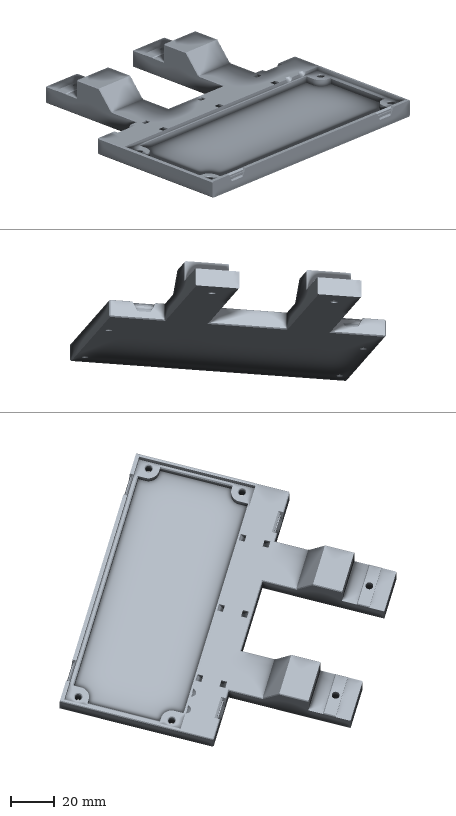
import cadquery as cq
import math

total_length = 130.0
plate_width = 129.7
plate_left = 57.5
plate_height = 8.0
edge_chamfer = 0.5
top_chamfer = 0.4

arm_width = 20.8
arm_spacing = 57.2
arm_end_chamfer = 0.3
arm_overlap = 2.6

total_height = 17.3
block_start = 19.9
block_top_end = 33.7
block_foot_end = 41.6
pad_start = 7.0
pad_end = 13.0
pad_height = 0.5
pad_chamfer = 0.4
arm_hole_x = 9.9
arm_hole_diameter = 3.5

rim_left = 73.3
rim_right = 128.2
rim_width = 126.9
rim_depth = 1.8
ledge_z = plate_height - rim_depth
rim_wall_lean = 0.5
pocket_left = 74.4
pocket_right = 126.2
pocket_width = 122.7
pocket_depth = 5.0
pocket_bevel = 0.5

screw_left = 78.6
screw_right = 122.7
screw_spacing = 119.3
screw_diameter = 3.1
screw_mouth_diameter = 3.9
boss_radius = 5.0

clip_offset = 48.6
clip_top_width = 10.9
clip_bottom_width = 6.2
clip_height = 4.5
clip_slope_height = 1.7
clip_shelf_height = 2.9
clip_lip_height = 3.6
clip_floor_depth = 1.0
clip_shelf_depth = 1.5
clip_top_depth = 2.5
clip_right_shift = 0.5
clip_overcut = 1.3

tie_center_x = 66.3
tie_center_rise = 2.6
tie_inner_reach = 4.3
tie_outer_reach = 7.0
tie_width = 3.2
tie_spacing = 36.7

wire_diameter = 4.7
wire_angle = 45.0
wire_center_x = 74.6
wire_length = 10.4
wire_positions = (53.3, 44.6)

arm_centers = (-arm_spacing / 2, arm_spacing / 2)


def box(x_start, x_end, width, z_start, z_end, y_center=0.0):
    """Axis-aligned box centred on y_center."""
    size = (x_end - x_start, width, z_end - z_start)
    return cq.Workplane("XY").box(*size, centered=(False, True, False)).translate((x_start, y_center, z_start))


def side_profile(points, width, y_center):
    """Outline in the XZ plane, thickened along Y about y_center."""
    return cq.Workplane("XZ").polyline(points).close().extrude(width).translate((0, y_center + width / 2, 0))


def make_plate():
    plate = box(plate_left, total_length, plate_width, 0, plate_height)
    plate = plate.edges("<X and |Z").chamfer(edge_chamfer)
    plate = plate.faces("<Z").edges("not >X").chamfer(edge_chamfer)
    return plate.faces(">Z").edges("not >X").chamfer(top_chamfer)


def make_arm(y_center):
    tip = box(0, block_foot_end, arm_width, 0, plate_height, y_center)
    tip = tip.edges("|X and <Z").chamfer(edge_chamfer)
    tip = tip.edges("<X and |Z").chamfer(arm_end_chamfer)
    root = box(block_foot_end, plate_left + arm_overlap, arm_width, 0, plate_height, y_center)
    root = root.edges("|X and <Z").chamfer(edge_chamfer)
    root = root.edges("|X and >Z").chamfer(top_chamfer)
    return tip.union(root).union(make_block(y_center)).union(make_pad(y_center))


def make_block(y_center):
    """Upright stop with a sloping back, its top and slope bevelled along both sides."""
    base_z = plate_height / 2
    outline = [
        (block_start, base_z),
        (block_start, total_height),
        (block_top_end, total_height),
        (block_foot_end, plate_height),
        (block_foot_end, base_z),
    ]
    block = side_profile(outline, arm_width, y_center)
    return block.edges("(not |Y) and (not |Z) and (not <Z)").chamfer(top_chamfer)


def make_pad(y_center):
    pad = box(pad_start, pad_end, arm_width, plate_height / 2, plate_height + pad_height, y_center)
    return pad.faces(">Z").edges("|X or >X").chamfer(pad_chamfer)


def arm_hole(y_center):
    hole = cq.Workplane("XY").circle(arm_hole_diameter / 2).extrude(total_height)
    return hole.translate((arm_hole_x, y_center, 0))


def widened_prism(x_start, x_end, width, z_start, z_end, x_growth, y_growth):
    """Box on the XZ plane of symmetry whose +X end and both sides lean outwards towards the top."""
    prism = cq.Workplane("XY").center((x_start + x_end) / 2, 0).rect(x_end - x_start, width)
    prism = prism.workplane(offset=z_end - z_start).center(x_growth / 2, 0)
    prism = prism.rect(x_end - x_start + x_growth, width + 2 * y_growth)
    return prism.loft(ruled=True).translate((0, 0, z_start))


def boss(outward_x, outward_y):
    """Corner boss for one screw, joined to the two tray walls beside it."""
    x = screw_left if outward_x < 0 else screw_right
    y = outward_y * screw_spacing / 2
    size = 2 * boss_radius
    shape = cq.Workplane("XY").circle(boss_radius).extrude(ledge_z)
    for offset_x, offset_y in ((outward_x, 0), (0, outward_y), (outward_x, outward_y)):
        center = (offset_x * boss_radius, offset_y * boss_radius)
        shape = shape.union(cq.Workplane("XY").center(*center).rect(size, size).extrude(ledge_z))
    return shape.translate((x, y, 0))


def tray_cut():
    rim_floor_width = rim_width - 2 * rim_wall_lean
    rim = widened_prism(rim_left, rim_right, rim_floor_width, ledge_z, plate_height, 0, rim_wall_lean)
    pocket = box(pocket_left, pocket_right, pocket_width, plate_height - pocket_depth, ledge_z)
    bevel_z = ledge_z - pocket_bevel
    bevel = widened_prism(
        pocket_left, pocket_right, pocket_width, bevel_z, ledge_z, pocket_bevel, pocket_bevel
    )
    pocket = pocket.union(bevel)
    for outward_x in (-1, 1):
        for outward_y in (-1, 1):
            pocket = pocket.cut(boss(outward_x, outward_y))
    return rim.union(pocket)


def screw_hole(x, y):
    hole = cq.Workplane("XY").circle(screw_diameter / 2).extrude(ledge_z)
    mouth_depth = (screw_mouth_diameter - screw_diameter) / 2
    mouth = cq.Workplane("XY").circle(screw_diameter / 2).workplane(offset=mouth_depth)
    mouth = mouth.circle(screw_mouth_diameter / 2).loft().translate((0, 0, ledge_z - mouth_depth))
    return hole.union(mouth).translate((x, y, 0))


def clip_cut(y_center):
    """Recess in the -X face: sloped floor, upright back with a shelf, slanted lip at the top."""
    floor_z = plate_height - clip_height
    depth_points = [
        (-clip_overcut, floor_z),
        (0, floor_z),
        (clip_floor_depth, floor_z + clip_slope_height),
        (clip_floor_depth, floor_z + clip_shelf_height),
        (clip_shelf_depth, floor_z + clip_shelf_height),
        (clip_shelf_depth, floor_z + clip_lip_height),
        (clip_top_depth, plate_height),
        (-clip_overcut, plate_height),
    ]
    front_points = [
        (-clip_bottom_width / 2, floor_z),
        (clip_bottom_width / 2, floor_z),
        (clip_top_width / 2, plate_height),
        (-clip_top_width / 2, plate_height),
    ]
    across = side_profile(depth_points, clip_top_width, 0)
    reach = 2 * clip_top_depth
    trapezoid = cq.Workplane("YZ").polyline(front_points).close().extrude(reach).translate((-reach / 2, 0, 0))
    return across.intersect(trapezoid).translate((plate_left, y_center, 0))


def tie_cut(y_center):
    """Ring about a Y axis above the plate, so only its lower arc bites into the part."""
    ring = cq.Workplane("XZ")
    for reach in (tie_outer_reach, tie_inner_reach):
        ring = ring.circle(math.hypot(reach, tie_center_rise))
    ring = ring.extrude(tie_width)
    return ring.translate((tie_center_x, y_center + tie_width / 2, plate_height + tie_center_rise))


def wire_cut(y_center):
    """Slanted round groove that ends at the rim wall and on the ledge level."""
    passage = cq.Workplane("XY").circle(wire_diameter / 2).extrude(wire_length)
    passage = passage.translate((0, 0, -wire_length / 2)).rotate((0, 0, 0), (0, 1, 0), -wire_angle)
    passage = passage.translate((wire_center_x, y_center, plate_height))
    room = box(rim_left - wire_diameter, rim_left, wire_diameter, ledge_z, plate_height, y_center)
    return passage.intersect(room)


result = make_plate()
for arm_y in arm_centers:
    result = result.union(make_arm(arm_y))
for arm_y in arm_centers:
    result = result.cut(arm_hole(arm_y))

result = result.cut(tray_cut())
for screw_x in (screw_left, screw_right):
    for screw_y in (-screw_spacing / 2, screw_spacing / 2):
        result = result.cut(screw_hole(screw_x, screw_y))

mirror_plane_x = (plate_left + total_length + clip_right_shift) / 2
for clip_y in (-clip_offset, clip_offset):
    left_clip = clip_cut(clip_y)
    right_clip = left_clip.mirror("YZ", (mirror_plane_x, 0, 0))
    result = result.cut(left_clip).cut(right_clip)

for tie_y in (-tie_spacing, 0, tie_spacing):
    result = result.cut(tie_cut(tie_y))
for wire_y in wire_positions:
    result = result.cut(wire_cut(wire_y))